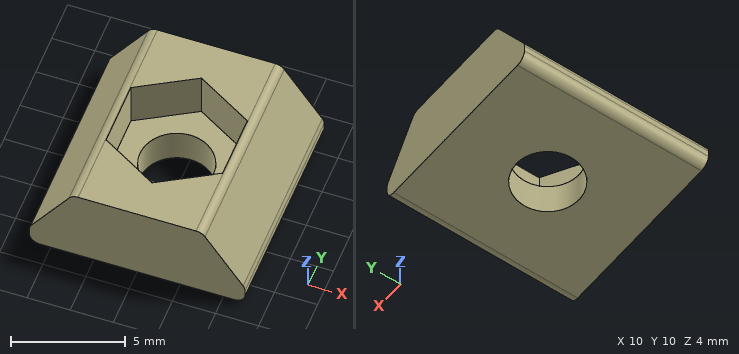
import cadquery as cq
import math

length = 10.0
base_width = 10.0
top_width = 6.0
height = 4.0
side_height = 1.0
edge_radius = 0.5

hex_across_flats = 5.4
pocket_depth = 2.3
hole_diameter = 3.4


def make_body():
    """Trapezoidal bar along Y with short upright sides and rounded long edges."""
    half_base = base_width / 2
    half_top = top_width / 2
    outline = [
        (-half_base, 0),
        (half_base, 0),
        (half_base, side_height),
        (half_top, height),
        (-half_top, height),
        (-half_base, side_height),
    ]
    bar = cq.Workplane("XZ").polyline(outline).close().extrude(length / 2, both=True)
    return bar.edges("|Y").fillet(edge_radius)


def make_nut_pocket():
    """Hexagonal prism sunk from the top face, with two corners on the Y axis."""
    corner_diameter = 2 * hex_across_flats / math.sqrt(3)
    prism = cq.Workplane("XY").polygon(6, corner_diameter).extrude(pocket_depth)
    return prism.rotate((0, 0, 0), (0, 0, 1), 90).translate((0, 0, height - pocket_depth))


def make_screw_hole():
    """Vertical through hole on the part axis."""
    return cq.Workplane("XY").circle(hole_diameter / 2).extrude(height)


result = make_body().cut(make_nut_pocket()).cut(make_screw_hole())